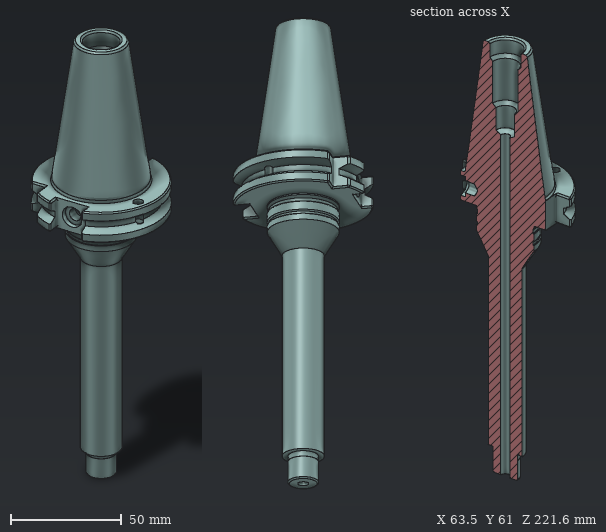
import cadquery as cq
import math

total_length = 221.6
taper_length = 69.2
gauge_z = total_length - taper_length
gauge_land = 1.0
gauge_to_flange = 2.5
flange_top_z = gauge_z - gauge_to_flange
flange_height = 15.5
flange_bottom_z = flange_top_z - flange_height
collar_length = 12.6
collar_bottom_z = flange_bottom_z - collar_length
shank_top_z = 110.5
shank_bottom_z = 13.3
nose_neck_length = 2.7

taper_small_dia = 25.0
gauge_dia = 44.5
taper_foot_dia = 45.7
flange_dia = 63.5
groove_floor_dia = 55.9
collar_dia = 32.5
shank_dia = 19.0
nose_dia = 14.0
nose_neck_dia = 13.7

gauge_to_groove = 10.2
groove_center_z = gauge_z - gauge_to_groove
groove_floor_width = 2.9
groove_rim_width = 7.3

collar_groove_depth = 0.7
collar_grooves = [(0.7, 1.3, 3.0), (7.8, 0.7, 2.0)]

taper_chamfer = 0.9
flange_chamfer = 0.7
nose_chamfer = 0.7
bore_chamfer = 0.9
wall_chamfer = 0.78
inner_corner_radius = 0.7

pilot_bore_dia = 17.0
pilot_bore_depth = 7.8
thread_bore_dia = 13.7
thread_bore_depth = 31.0
inner_bore_dia = 10.2
inner_bore_depth = 44.3
coolant_dia = 4.9
drill_tip_angle = 118.0

slot_width = 16.2
half_slot = slot_width / 2
front_slot_floor = 25.0
rear_slot_floor = 22.5
notch_wall = 18.5

socket_dia = 10.2
socket_depth = 2.7
socket_core_dia = 6.0
socket_core_depth = 7.8

flange_hole_dia = 4.9
flange_hole_circle_radius = 26.8
flange_hole_depth = 10.2
flange_hole_angles = (160.0, 340.0)

tolerance = 0.0002


def turned(points):
    """Solid of revolution about Z from (radius, z) points."""
    return cq.Workplane("XZ").polyline(points).close().revolve(360, (0, 0, 0), (0, 1, 0))


def tip_height(dia):
    """Height of a drill point of the given diameter."""
    return dia / 2 / math.tan(math.radians(drill_tip_angle / 2))


def drill(dia, depth):
    """Cutter entering downwards from Z = 0 and ending in a drill point."""
    radius = dia / 2
    return turned([(0, 0), (radius, 0), (radius, -depth), (0, -depth - tip_height(dia))])


def outer_body():
    top_r = taper_small_dia / 2
    gauge_r = gauge_dia / 2
    flange_r = flange_dia / 2
    collar_r = collar_dia / 2
    shank_r = shank_dia / 2
    nose_r = nose_dia / 2
    neck_r = nose_neck_dia / 2
    neck_bottom_z = shank_bottom_z - nose_neck_length
    return turned([
        (0, 0),
        (nose_r - nose_chamfer, 0),
        (nose_r, nose_chamfer),
        (nose_r, neck_bottom_z),
        (neck_r, neck_bottom_z),
        (neck_r, shank_bottom_z),
        (shank_r, shank_bottom_z),
        (shank_r, shank_top_z),
        (collar_r, collar_bottom_z),
        (collar_r, flange_bottom_z),
        (flange_r - flange_chamfer, flange_bottom_z),
        (flange_r, flange_bottom_z + flange_chamfer),
        (flange_r, flange_top_z - flange_chamfer),
        (flange_r - flange_chamfer, flange_top_z),
        (taper_foot_dia / 2, flange_top_z),
        (gauge_r, gauge_z - gauge_land),
        (gauge_r, gauge_z),
        (top_r, total_length - taper_chamfer),
        (top_r - taper_chamfer, total_length),
        (0, total_length),
    ])


def gripper_groove():
    rim_r = flange_dia / 2
    floor_r = groove_floor_dia / 2
    half_floor = groove_floor_width / 2
    half_rim = groove_rim_width / 2
    return turned([
        (floor_r, groove_center_z - half_floor),
        (rim_r, groove_center_z - half_rim),
        (rim_r, groove_center_z + half_rim),
        (floor_r, groove_center_z + half_floor),
    ])


def collar_groove(drop, slope_height, height):
    collar_r = collar_dia / 2
    floor_r = collar_r - collar_groove_depth
    top_z = flange_bottom_z - drop
    return turned([
        (collar_r, top_z),
        (floor_r, top_z - slope_height),
        (floor_r, top_z - height),
        (collar_r, top_z - height),
    ])


def bore():
    """Through bore whose shoulders are cones: 45 degrees at the two upper steps, a drill point below."""
    pilot_r = pilot_bore_dia / 2
    thread_r = thread_bore_dia / 2
    inner_r = inner_bore_dia / 2
    coolant_r = coolant_dia / 2
    pilot_z = total_length - pilot_bore_depth
    thread_z = total_length - thread_bore_depth
    inner_z = total_length - inner_bore_depth
    return turned([
        (0, 0),
        (coolant_r, 0),
        (coolant_r, inner_z - tip_height(inner_bore_dia) + tip_height(coolant_dia)),
        (inner_r, inner_z),
        (inner_r, thread_z - (thread_r - inner_r)),
        (thread_r, thread_z),
        (thread_r, pilot_z - (pilot_r - thread_r)),
        (pilot_r, pilot_z),
        (pilot_r, total_length - bore_chamfer),
        (pilot_r + bore_chamfer, total_length),
        (0, total_length),
    ])


def flange_cutter(x_min, x_max, y_min, y_max):
    """Block as tall as the flange, for cutting slots and notches through it."""
    size = (x_max - x_min, y_max - y_min, flange_height)
    return cq.Workplane("XY").box(*size, centered=False).translate((x_min, y_min, flange_bottom_z))


def cut_slots_and_notch(body):
    body = body.cut(flange_cutter(-half_slot, half_slot, -flange_dia, -front_slot_floor))
    body = body.cut(flange_cutter(-half_slot, half_slot, rear_slot_floor, flange_dia))
    return body.cut(flange_cutter(-flange_dia, -notch_wall, -flange_dia, -notch_wall))


def lies_along(edge, distance):
    """True if distance(point) is zero all along an edge of the flange."""
    points = [edge.positionAt(t) for t in (0, 0.5, 1)]
    in_flange = all(flange_bottom_z - tolerance < p.z < flange_top_z + tolerance for p in points)
    return in_flange and all(abs(distance(p)) < tolerance for p in points)


def wall_edges(body):
    """Open edges and inner corner edges of the slot and notch walls, as two lists."""
    open_edges = []
    corner_edges = []
    for edge in body.edges().vals():
        on_slot_wall = lies_along(edge, lambda p: abs(p.x) - half_slot)
        on_front_floor = lies_along(edge, lambda p: p.y + front_slot_floor)
        on_rear_floor = lies_along(edge, lambda p: p.y - rear_slot_floor)
        beyond_notch = max(edge.Center().x, edge.Center().y) < -notch_wall + tolerance
        on_notch_side = beyond_notch and lies_along(edge, lambda p: p.x + notch_wall)
        on_notch_back = beyond_notch and lies_along(edge, lambda p: p.y + notch_wall)
        in_slot_corner = on_slot_wall and (on_front_floor or on_rear_floor)
        if in_slot_corner or (on_notch_side and on_notch_back):
            corner_edges.append(edge)
        elif on_slot_wall or on_notch_side or on_notch_back:
            open_edges.append(edge)
    return open_edges, corner_edges


def finish_walls(body):
    """Chamfer the open edges of the slot and notch walls, then round their inner corners."""
    open_edges, _ = wall_edges(body)
    body = body.newObject(open_edges).chamfer(wall_chamfer)
    _, corner_edges = wall_edges(body)
    return body.newObject(corner_edges).fillet(inner_corner_radius)


def socket():
    recess = cq.Workplane("XY").circle(socket_dia / 2).extrude(-socket_depth)
    cutter = recess.union(drill(socket_core_dia, socket_core_depth))
    return cutter.rotate((0, 0, 0), (1, 0, 0), 90).translate((0, -front_slot_floor, groove_center_z))


def flange_hole(angle):
    hole = drill(flange_hole_dia, flange_hole_depth).translate((flange_hole_circle_radius, 0, flange_top_z))
    return hole.rotate((0, 0, 0), (0, 0, 1), angle)


result = finish_walls(cut_slots_and_notch(outer_body()))
result = result.cut(gripper_groove()).cut(bore()).cut(socket())
for groove in collar_grooves:
    result = result.cut(collar_groove(*groove))
for hole_angle in flange_hole_angles:
    result = result.cut(flange_hole(hole_angle))